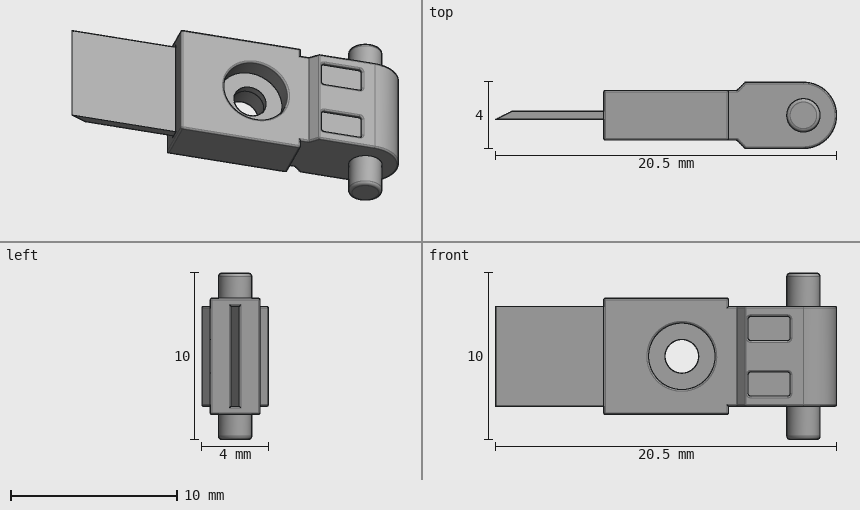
import cadquery as cq


edge_round = 0.1
block_start = 6.5
block_length = 7.5
block_thickness = 3.0
block_height = 7.0
head_end = 20.5
head_thickness = 4.0
head_height = 6.0
head_radius = head_thickness / 2
pivot_x = head_end - head_radius
shoulder_rise = (head_thickness - block_thickness) / 2
shoulder_round = 0.08
shoulder_end = 15.0
shoulder_start = shoulder_end - shoulder_rise
block_end = block_start + block_length
neck_start = block_end - 2 * edge_round

pin_diameter = 2.0
pin_length = 10.0
pin_end_round = 0.2

blade_thickness = 0.5
blade_height = 6.0
blade_end = 13.74
bevel_length = 2 * blade_thickness

screw_x = 11.2
screw_diameter = 2.0
counterbore_diameter = 4.0

recess_length = 2.52
recess_height = 1.45
recess_depth = 0.2
recess_corner = 0.16
recess_x = 16.45
recess_spacing = 3.35


def y_cylinder(x, diameter, y_start, y_end):
    """Cylinder along +Y at mid height."""
    return cq.Workplane(
        cq.Solid.makeCylinder(diameter / 2, y_end - y_start, cq.Vector(x, y_start, 0), cq.Vector(0, 1, 0))
    )


def make_block():
    block = cq.Workplane("XY").box(block_length, block_thickness, block_height)
    return block.translate((block_start + block_length / 2, 0, 0)).edges().fillet(edge_round)


def make_head():
    """Neck, 45 degree shoulders and round end, extruded along Z."""
    neck_y = block_thickness / 2
    head = (
        cq.Workplane("XY")
        .workplane(offset=-head_height / 2)
        .moveTo(neck_start, -neck_y)
        .lineTo(shoulder_start, -neck_y)
        .lineTo(shoulder_end, -head_radius)
        .lineTo(pivot_x, -head_radius)
        .threePointArc((head_end, 0), (pivot_x, head_radius))
        .lineTo(shoulder_end, head_radius)
        .lineTo(shoulder_start, neck_y)
        .lineTo(neck_start, neck_y)
        .close()
        .extrude(head_height)
    )
    shoulder_corners = cq.selectors.BoxSelector(
        (shoulder_start - shoulder_round, -head_thickness, -head_height),
        (shoulder_end + shoulder_round, head_thickness, head_height),
    )
    head = head.edges("|Z").edges(shoulder_corners).fillet(shoulder_round)
    return head.faces("|Z").edges("not(<X)").fillet(edge_round)


def make_pin():
    pin = cq.Workplane("XY").circle(pin_diameter / 2).extrude(pin_length / 2, both=True)
    return pin.edges("%CIRCLE").fillet(pin_end_round).translate((pivot_x, 0, 0))


def mouth_selector(x_centre, x_span, y, z_centre, z_span):
    """Box selector for the mouth edges of an opening in the front plane at y."""
    reach = 0.02
    return cq.selectors.BoxSelector(
        (x_centre - x_span / 2 - reach, y - reach, z_centre - z_span / 2 - reach),
        (x_centre + x_span / 2 + reach, y + reach, z_centre + z_span / 2 + reach),
    )


def cut_slot(holder):
    """Blade slot with a rounded mouth on the end face of the block."""
    slot_length = blade_end - block_start
    slot_x = block_start + slot_length / 2
    slot = cq.Workplane("XY").box(slot_length, blade_thickness, blade_height).translate((slot_x, 0, 0))
    slot_mouth = cq.selectors.BoxSelector(
        (block_start - edge_round / 2, -blade_thickness, -blade_height),
        (block_start + edge_round / 2, blade_thickness, blade_height),
    )
    return holder.cut(slot).edges(slot_mouth).fillet(edge_round)


def cut_screw_hole(holder):
    """Through hole, with a rounded counterbore from the front face down to the blade."""
    holder = holder.cut(y_cylinder(screw_x, counterbore_diameter, -block_thickness, 0))
    holder = holder.cut(y_cylinder(screw_x, screw_diameter, -block_thickness, block_thickness))
    mouth = mouth_selector(screw_x, counterbore_diameter, -block_thickness / 2, 0, counterbore_diameter)
    return holder.edges(mouth).fillet(edge_round)


def cut_recess(holder, z):
    """Shallow rounded rectangle in the front face of the head."""
    recess = cq.Workplane("XY").box(recess_length, 2 * recess_depth, recess_height)
    recess = recess.edges("|Y").fillet(recess_corner).translate((recess_x, -head_radius, z))
    mouth = mouth_selector(recess_x, recess_length, -head_radius, z, recess_height)
    return holder.cut(recess).edges(mouth).fillet(edge_round)


def make_holder():
    holder = make_block().union(make_head()).union(make_pin())
    holder = cut_slot(holder)
    holder = cut_screw_hole(holder)
    for side in (-1, 1):
        holder = cut_recess(holder, side * recess_spacing / 2)
    return holder


def make_blade():
    """Flat blade with a single bevel that rises from the front face."""
    half = blade_thickness / 2
    blade = (
        cq.Workplane("XY")
        .workplane(offset=-blade_height / 2)
        .polyline([(0, -half), (blade_end, -half), (blade_end, half), (bevel_length, half)])
        .close()
        .extrude(blade_height)
    )
    return blade.cut(y_cylinder(screw_x, screw_diameter, -blade_thickness, blade_thickness))


holder = make_holder().solids()
blade = make_blade().solids()
result = cq.Compound.makeCompound([holder.val(), blade.val()])